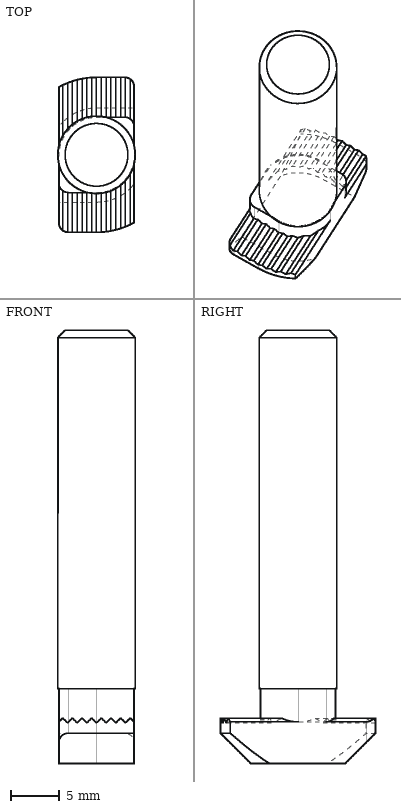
import cadquery as cq
import math

total_height = 44.7
shank_radius = 4.0
shank_bottom = 7.75
tip_chamfer = 0.75

head_width = 7.8
head_radius = 8.0
head_height = 4.7
end_bevel = 3.15
corner_radius = 1.0

tooth_pitch = 0.995
tooth_depth = tooth_pitch / 2
groove_count = 9

half_width = head_width / 2


def quarter_turn_prism(end_radius, height):
    """Prism with two rounded square corners and two corners swept about the Z axis."""
    swing_y = math.sqrt(end_radius**2 - half_width**2)
    middle_x = half_width / 2
    middle_y = math.sqrt(end_radius**2 - middle_x**2)
    inset = corner_radius * (1 - math.sqrt(0.5))
    outline = cq.Workplane("XY").moveTo(0, -end_radius)
    for side in (1, -1):
        outline = outline.threePointArc(
            (side * middle_x, -side * middle_y),
            (side * half_width, -side * swing_y),
        )
        outline = outline.lineTo(side * half_width, side * (end_radius - corner_radius))
        outline = outline.threePointArc(
            (side * (half_width - inset), side * (end_radius - inset)),
            (side * (half_width - corner_radius), side * end_radius),
        )
        outline = outline.lineTo(0, side * end_radius)
    return outline.close().extrude(height)


def make_bevel_envelope():
    """Cone over the swept corners, joined to plain 45 degree slopes over the square corners."""
    base_radius = head_radius - end_bevel
    profile = [
        (0, 0),
        (base_radius, 0),
        (head_radius, end_bevel),
        (head_radius, head_height),
        (0, head_height),
    ]
    cone = cq.Workplane("XZ").polyline(profile).close().revolve(360, (0, 0), (0, 1))
    slope = cq.Workplane("YZ").polyline(profile).close().extrude(half_width)
    return cone.union(slope).union(slope.rotate((0, 0, 0), (0, 0, 1), 180))


def make_teeth_grooves():
    """Row of V grooves along Y, with the middle groove on the shank axis."""
    grooves = cq.Workplane("XZ", origin=(0, head_radius, 0))
    for index in range(-(groove_count // 2), groove_count // 2 + 1):
        center_x = index * tooth_pitch
        grooves = grooves.polyline([
            (center_x - tooth_pitch / 2, head_height),
            (center_x, head_height - tooth_depth),
            (center_x + tooth_pitch / 2, head_height),
        ]).close()
    return grooves.extrude(2 * head_radius)


head = quarter_turn_prism(head_radius, head_height)
head = head.intersect(make_bevel_envelope()).cut(make_teeth_grooves())

neck = quarter_turn_prism(half_width, shank_bottom)

shank = (
    cq.Workplane("XY", origin=(0, 0, shank_bottom))
    .circle(shank_radius)
    .extrude(total_height - shank_bottom)
    .faces(">Z")
    .chamfer(tip_chamfer)
)

result = head.union(neck).union(shank)